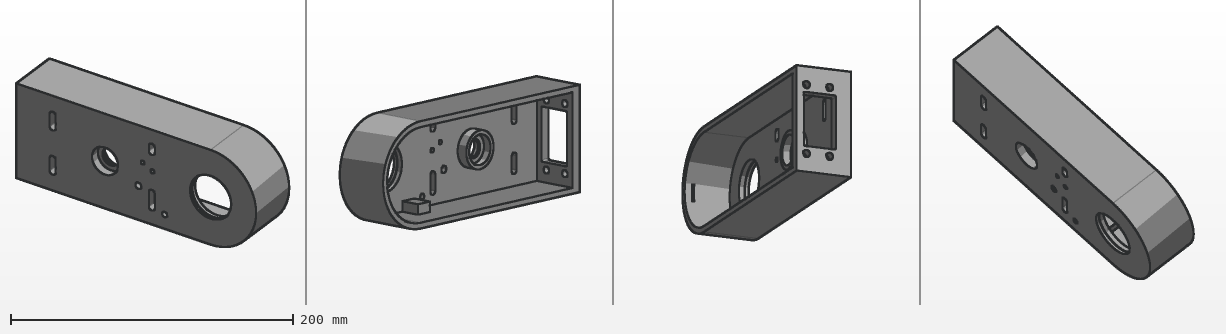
import cadquery as cq

length = 205.0
depth = 42.0
height = 78.0
end_radius = height / 2
pivot_x = length - end_radius

front_wall = 7.4
rim_wall = 4.3
end_wall = 7.5
cavity_radius = end_radius - rim_wall

pivot_hole_d = 35.0
pivot_seat_d = 36.0
pivot_lip = 3.0

bearing_x = 75.8
boss_d = 28.3
boss_height = 15.8
bearing_seat_d = 22.1
bearing_bore_d = 14.1
front_seat_depth = 7.4
bearing_web = 2.0

slot_width = 5.1
slots = [
    (31.2, 10.5, 25.8),
    (31.2, -25.8, -10.5),
    (115.8, 18.2, 27.5),
    (115.8, -27.5, -10.5),
]

front_holes = [
    (108.0, 9.5, 3.0),
    (116.5, 5.0, 3.3),
    (104.3, -10.9, 5.1),
    (126.9, -27.0, 4.3),
]

window_y_min = 11.9
window_y_max = 36.5
window_height = 40.0
window_corner_radius = 1.2
screw_d = 5.1
screw_y = (16.6, 34.5)
screw_z = 25.5

groove_height = 12.3
groove_width = 1.5
groove_y = 34.8
groove_depth = 1.0

pad_x = 135.3
pad_length = 12.3
pad_y_max = 22.5
pad_top_z = -27.0


def box(x_min, x_max, y_min, y_max, z_min, z_max):
    """Box given by its limits along each axis."""
    size = (x_max - x_min, y_max - y_min, z_max - z_min)
    return cq.Workplane("XY").box(*size, centered=False).translate((x_min, y_min, z_min))


def cylinder_y(x, z, diameter, y_min, y_max):
    """Cylinder running along Y between two depths."""
    plane = cq.Workplane("XZ", origin=(x, y_min, z))
    return plane.circle(diameter / 2).extrude(-(y_max - y_min))


def round_ended_block(x_min, radius, y_min, y_max):
    """Block from x_min to the pivot axis, closed by a half round about that axis."""
    block = box(x_min, pivot_x, y_min, y_max, -radius, radius)
    return block.union(cylinder_y(pivot_x, 0, 2 * radius, y_min, y_max))


def slot_cutter(x, z_min, z_max):
    plane = cq.Workplane("XZ", origin=(x, 0, (z_min + z_max) / 2))
    return plane.slot2D(z_max - z_min, slot_width, 90).extrude(-front_wall)


def window_cutter():
    window = box(0, end_wall, window_y_min, window_y_max, -window_height / 2, window_height / 2)
    return window.edges("|X").fillet(window_corner_radius)


def screw_hole_cutter():
    points = [(y, z) for y in screw_y for z in (-screw_z, screw_z)]
    return cq.Workplane("YZ").pushPoints(points).circle(screw_d / 2).extrude(end_wall)


def groove_cutter():
    y_max = groove_y + groove_width
    ring = cylinder_y(pivot_x, 0, 2 * (cavity_radius + groove_depth), groove_y, y_max)
    band = box(pivot_x, length, groove_y, y_max, -groove_height / 2, groove_height / 2)
    return ring.intersect(band)


body = round_ended_block(0, end_radius, 0, depth)
body = body.cut(round_ended_block(end_wall, cavity_radius, front_wall, depth))
body = body.union(cylinder_y(bearing_x, 0, boss_d, 0, boss_height))
pad = box(pad_x, pad_x + pad_length, 0, pad_y_max, -end_radius, pad_top_z)
body = body.union(pad)

body = body.cut(cylinder_y(pivot_x, 0, pivot_hole_d, 0, front_wall))
body = body.cut(cylinder_y(pivot_x, 0, pivot_seat_d, pivot_lip, front_wall))

body = body.cut(cylinder_y(bearing_x, 0, bearing_bore_d, 0, boss_height))
body = body.cut(cylinder_y(bearing_x, 0, bearing_seat_d, 0, front_seat_depth))
rear_seat_y = front_seat_depth + bearing_web
body = body.cut(cylinder_y(bearing_x, 0, bearing_seat_d, rear_seat_y, boss_height))

for slot in slots:
    body = body.cut(slot_cutter(*slot))
for hole_x, hole_z, hole_d in front_holes:
    body = body.cut(cylinder_y(hole_x, hole_z, hole_d, 0, front_wall))

body = body.cut(window_cutter())
body = body.cut(screw_hole_cutter())
body = body.cut(groove_cutter())

result = body